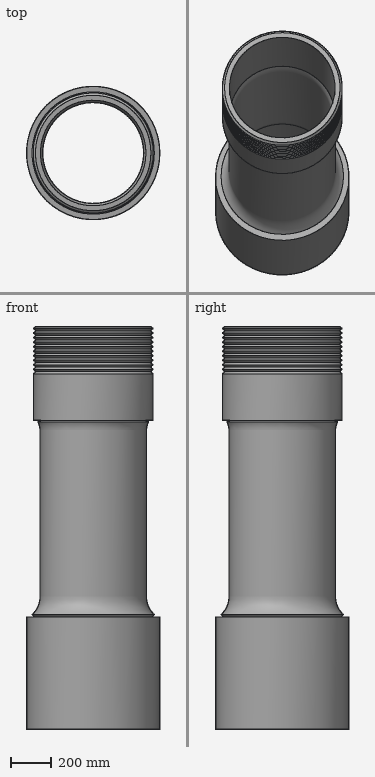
import cadquery as cq
import math

total_height = 2000.0

pipe_outer_radius = 530.0 / 2
pipe_bore_radius = 500.0 / 2
pipe_wall = pipe_outer_radius - pipe_bore_radius

socket_outer_radius = 663.0 / 2
socket_bore_radius = 587.0 / 2
socket_height = 559.0

spigot_outer_radius = 596.14 / 2
spigot_bore_radius = 524.14 / 2
spigot_height = 466.0
spigot_bottom = total_height - spigot_height

ridge_count = 10
ridge_pitch = 22.5
ridge_depth = 13.5
top_ridge_drop = 9.5

lower_flare_length = 100.0
upper_flare_length = 49.0


def revolve_profile(profile):
    """Turn a closed (radius, height) outline about the Z axis."""
    return profile.close().revolve(360, (0, 0, 0), (0, 1, 0))


def flare_points(end_radius, length):
    """Points of a pipe end that bends outward at constant wall thickness, as (radius, rise) pairs.

    The rise is measured from the start of the bend. Both wall surfaces are arcs about one centre
    outside the pipe, and the end face is square to the wall.
    """
    widening = end_radius - pipe_bore_radius
    bend_angle = 2 * math.atan2(widening, length)
    bore_arc_radius = length / math.sin(bend_angle)
    outer_arc_radius = bore_arc_radius - pipe_wall
    centre_radius = pipe_bore_radius + bore_arc_radius

    def arc_point(arc_radius, angle):
        return (centre_radius - arc_radius * math.cos(angle), arc_radius * math.sin(angle))

    return {
        "bore_middle": arc_point(bore_arc_radius, bend_angle / 2),
        "bore_end": arc_point(bore_arc_radius, bend_angle),
        "outer_end": arc_point(outer_arc_radius, bend_angle),
        "outer_middle": arc_point(outer_arc_radius, bend_angle / 2),
    }


def make_pipe():
    """Straight pipe with a flare at each end, reaching from the socket to the spigot."""
    lower_bend = socket_height + lower_flare_length
    upper_bend = spigot_bottom - upper_flare_length
    lower_flare = flare_points(socket_bore_radius, lower_flare_length)
    upper_flare = flare_points(spigot_bore_radius, upper_flare_length)

    def lower(name):
        radius, rise = lower_flare[name]
        return (radius, lower_bend - rise)

    def upper(name):
        radius, rise = upper_flare[name]
        return (radius, upper_bend + rise)

    profile = (
        cq.Workplane("XZ")
        .moveTo(pipe_bore_radius, lower_bend)
        .lineTo(pipe_bore_radius, upper_bend)
        .threePointArc(upper("bore_middle"), upper("bore_end"))
        .lineTo(*upper("outer_end"))
        .threePointArc(upper("outer_middle"), (pipe_outer_radius, upper_bend))
        .lineTo(pipe_outer_radius, lower_bend)
        .threePointArc(lower("outer_middle"), lower("outer_end"))
        .lineTo(*lower("bore_end"))
        .threePointArc(lower("bore_middle"), (pipe_bore_radius, lower_bend))
    )
    return revolve_profile(profile)


def make_socket():
    """Plain thick-walled sleeve under the lower flare."""
    return (
        cq.Workplane("XY")
        .circle(socket_outer_radius)
        .circle(socket_bore_radius)
        .extrude(socket_height)
    )


def make_spigot():
    """Sleeve above the upper flare, with sharp V-shaped ridges on its upper half."""
    root_radius = spigot_outer_radius - ridge_depth
    half_pitch = ridge_pitch / 2
    top_crest = total_height - top_ridge_drop
    ridges_bottom = top_crest - ridge_count * ridge_pitch
    top_face_radius = spigot_outer_radius - ridge_depth * top_ridge_drop / half_pitch

    profile = (
        cq.Workplane("XZ")
        .moveTo(spigot_bore_radius, spigot_bottom)
        .lineTo(spigot_outer_radius, spigot_bottom)
        .lineTo(spigot_outer_radius, ridges_bottom)
    )
    for ridge in range(ridge_count):
        root_height = ridges_bottom + ridge * ridge_pitch + half_pitch
        profile = profile.lineTo(root_radius, root_height)
        profile = profile.lineTo(spigot_outer_radius, root_height + half_pitch)
    profile = profile.lineTo(top_face_radius, total_height).lineTo(spigot_bore_radius, total_height)
    return revolve_profile(profile)


pipe = make_pipe()
socket = make_socket()
spigot = make_spigot()

result = cq.Compound.makeCompound([pipe.val(), socket.val(), spigot.val()])